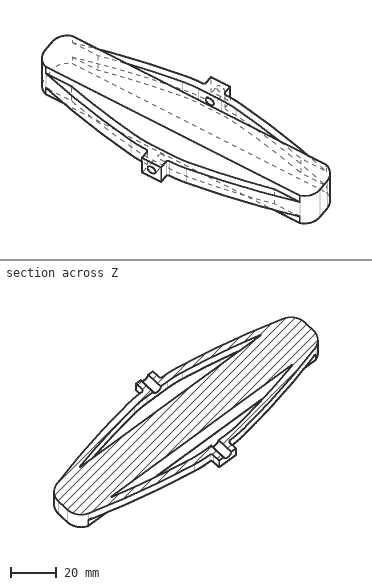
import cadquery as cq
import math

BAR_LENGTH = 144.13
BAR_WIDTH = 21.0
BAR_HEIGHT = 19.0
CORNER_RADIUS = 8.0

ARM_HEIGHT = 10.0
ARM_THICKNESS = 3.5
ARM_CREST = 22.5
BOW_RADIUS = 400.0
BLEND_RADIUS = 58.0
BLEND_ANGLE = math.radians(8.5)

OVERALL_WIDTH = 55.0
LUG_WIDTH = 10.0
LUG_FILLET = 1.0
HOLE_DIAMETER = 4.2

bar_side = BAR_WIDTH / 2
lug_half = LUG_WIDTH / 2
lug_face = OVERALL_WIDTH / 2
crest_half = lug_half + LUG_FILLET
blend_center_y = ARM_CREST - BLEND_RADIUS

bow_center_x = crest_half - (BOW_RADIUS - BLEND_RADIUS) * math.sin(BLEND_ANGLE)
bow_center_y = blend_center_y - (BOW_RADIUS - BLEND_RADIUS) * math.cos(BLEND_ANGLE)


def blend_point(inset, angle):
    """Point on the +X blend arc, inset from the outer face; angle is measured from +Y."""
    radius = BLEND_RADIUS - inset
    return (crest_half + radius * math.sin(angle), blend_center_y + radius * math.cos(angle))


def bow_point(inset, angle):
    """Point on the +X bow arc, inset from the outer face; angle is measured from +Y."""
    radius = BOW_RADIUS - inset
    return (bow_center_x + radius * math.sin(angle), bow_center_y + radius * math.cos(angle))


def bow_end_angle(inset):
    """Angle at which the bow arc meets the side face of the bar."""
    return math.acos((bar_side - bow_center_y) / (BOW_RADIUS - inset))


def bow_middle(inset):
    """Point halfway along the bow arc."""
    return bow_point(inset, (BLEND_ANGLE + bow_end_angle(inset)) / 2)


def mirror_x(point):
    return (-point[0], point[1])


def make_bar():
    half_length = BAR_LENGTH / 2
    side_half = bow_point(0, bow_end_angle(0))[0]
    center_x = half_length - CORNER_RADIUS
    sweep = math.acos((side_half - center_x) / CORNER_RADIUS)
    end_half = bar_side - CORNER_RADIUS * math.sin(sweep)
    middle_x = center_x + CORNER_RADIUS * math.cos(sweep / 2)
    middle_y = end_half + CORNER_RADIUS * math.sin(sweep / 2)
    return (
        cq.Workplane("XY")
        .moveTo(-side_half, bar_side)
        .lineTo(side_half, bar_side)
        .threePointArc((middle_x, middle_y), (half_length, end_half))
        .lineTo(half_length, -end_half)
        .threePointArc((middle_x, -middle_y), (side_half, -bar_side))
        .lineTo(-side_half, -bar_side)
        .threePointArc((-middle_x, -middle_y), (-half_length, -end_half))
        .lineTo(-half_length, end_half)
        .threePointArc((-middle_x, middle_y), (-side_half, bar_side))
        .close()
        .extrude(BAR_HEIGHT / 2, both=True)
    )


def draw_face_outward(sketch, inset):
    """Trace one arm face from the +X end of the crest out to the bar."""
    return (
        sketch
        .threePointArc(blend_point(inset, BLEND_ANGLE / 2), blend_point(inset, BLEND_ANGLE))
        .threePointArc(bow_middle(inset), bow_point(inset, bow_end_angle(inset)))
    )


def draw_face_inward(sketch, inset):
    """Trace one arm face from the bar in to the -X end of the crest."""
    return (
        sketch
        .threePointArc(mirror_x(bow_middle(inset)), mirror_x(blend_point(inset, BLEND_ANGLE)))
        .threePointArc(mirror_x(blend_point(inset, BLEND_ANGLE / 2)), mirror_x(blend_point(inset, 0)))
    )


def make_arm_band():
    """Arm on the +Y side: the area under its outer face less the area under its inner face."""

    def under_face(inset):
        start = blend_point(inset, 0)
        bar_end = mirror_x(bow_point(inset, bow_end_angle(inset)))
        sketch = cq.Workplane("XY").moveTo(*mirror_x(start)).lineTo(*start)
        sketch = draw_face_outward(sketch, inset).lineTo(*bar_end)
        return draw_face_inward(sketch, inset).close().extrude(ARM_HEIGHT / 2, both=True)

    return under_face(0).cut(under_face(ARM_THICKNESS))


def make_lug():
    """Lug on the +Y arm, with concave fillets flowing onto the flat crest."""
    root = ARM_CREST - ARM_THICKNESS / 2
    fillet_top = ARM_CREST + LUG_FILLET
    fillet_bulge = LUG_FILLET * (1 - math.sqrt(0.5))
    fillet_middle = (lug_half + fillet_bulge, ARM_CREST + fillet_bulge)
    return (
        cq.Workplane("XY")
        .moveTo(-crest_half, root)
        .lineTo(crest_half, root)
        .lineTo(crest_half, ARM_CREST)
        .threePointArc(fillet_middle, (lug_half, fillet_top))
        .lineTo(lug_half, lug_face)
        .lineTo(-lug_half, lug_face)
        .lineTo(-lug_half, fillet_top)
        .threePointArc(mirror_x(fillet_middle), (-crest_half, ARM_CREST))
        .close()
        .extrude(ARM_HEIGHT / 2, both=True)
    )


def make_hole():
    """Drill along Y from the bar's side face out through the +Y lug."""
    return (
        cq.Workplane("XZ", origin=(0, bar_side, 0))
        .circle(HOLE_DIAMETER / 2)
        .extrude(-(lug_face - bar_side))
    )


arm = make_arm_band().union(make_lug()).cut(make_hole())
result = make_bar().union(arm).union(arm.mirror("XZ"))